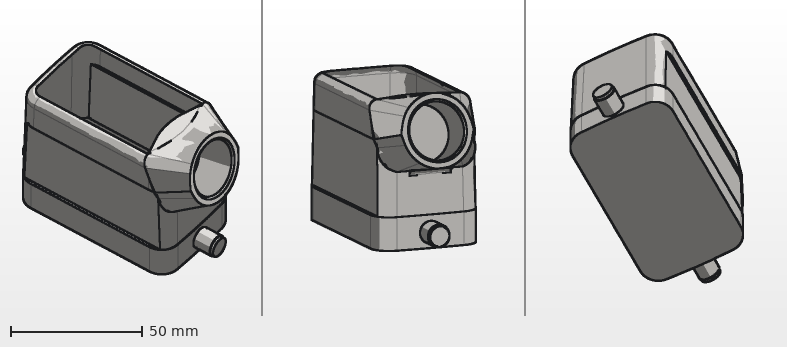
import cadquery as cq
import math

overall_length = 92.4

base_half_length = 36.4
base_half_width = 21.5
collar_height = 13.1
body_height = 57.0
corner_radius = 7.7
end_bow = 0.3
collar_ledge = 0.1
draft_length = 1.1
draft_width = 0.65
roof_fillet = 3.7

recess_top = 42.9
recess_half_width_bottom = 20.2
recess_half_width_top = 20.0

peg_height = 6.3
peg_diameter = 8.8
peg_tip_diameter = 8.0
peg_reach = 45.5
peg_tip_length = 1.4

cut_slant = 22.7
cut_foot_x = 35.8
cut_foot_z = 29.4
spigot_tilt = 15.0
spigot_radius = 14.5
mouth_x = overall_length - peg_reach - spigot_radius * math.sin(math.radians(spigot_tilt))
mouth_z = 47.0
spigot_root_z = 30.5
spigot_lower_side_z = 39.7
root_fillet = 2.3
cut_clearance = 1.85
roof_blend_radius = 29.6
bore_diameter = 22.5
bore_depth = 16.6
bore_chamfer = 0.8

mouth_roof_angle = 42.0
mouth_side_angle = 27.0
mouth_lower_angle = -18.2
mouth_bottom_angle = -54.0

mouth_shoulder_half_width = 15.0
mouth_shoulder_height = -0.5


def hood_outline(plane_height, half_length, half_width):
    """Rounded rectangle with slightly bowed short ends."""
    corner_x = half_length - end_bow
    flat_x = corner_x - corner_radius
    flat_y = half_width - corner_radius
    diagonal = corner_radius * math.sqrt(0.5)
    mid_x = flat_x + diagonal
    mid_y = flat_y + diagonal
    return (
        cq.Workplane("XY", origin=(0, 0, plane_height))
        .moveTo(-flat_x, -half_width)
        .lineTo(flat_x, -half_width)
        .threePointArc((mid_x, -mid_y), (corner_x, -flat_y))
        .threePointArc((half_length, 0), (corner_x, flat_y))
        .threePointArc((mid_x, mid_y), (flat_x, half_width))
        .lineTo(-flat_x, half_width)
        .threePointArc((-mid_x, mid_y), (-corner_x, flat_y))
        .threePointArc((-half_length, 0), (-corner_x, -flat_y))
        .threePointArc((-mid_x, -mid_y), (-flat_x, -half_width))
        .close()
    )


foot_half_length = base_half_length - collar_ledge
foot_half_width = base_half_width - collar_ledge
roof_half_length = foot_half_length - draft_length
roof_half_width = foot_half_width - draft_width

side_draft = math.atan2(draft_width, body_height - collar_height)
roof_setback = roof_fillet * math.tan(math.pi / 4 - side_draft / 2)


def make_body():
    """Drafted upper body with a rounded roof edge."""
    foot_wire = hood_outline(collar_height, foot_half_length, foot_half_width).val()
    roof_wire = hood_outline(body_height, roof_half_length, roof_half_width).val()
    body = cq.Workplane(cq.Solid.makeLoft([foot_wire, roof_wire], True))
    return body.faces(">Z").edges().fillet(roof_fillet)


def side_recess(side):
    """Cutter outside the slightly leaning recess floor; side is +1 or -1."""
    outside = base_half_width + corner_radius
    return (
        cq.Workplane("YZ")
        .polyline([
            (side * recess_half_width_bottom, collar_height),
            (side * recess_half_width_top, recess_top),
            (side * outside, recess_top),
            (side * outside, collar_height),
        ])
        .close()
        .extrude(base_half_length, both=True)
    )


def leaning_plane(x, z, angle):
    """Plane facing +X, tipped upward by angle; local x runs along +Y."""
    lean = math.radians(angle)
    return cq.Plane(origin=(x, 0, z), xDir=(0, 1, 0), normal=(math.cos(lean), 0, math.sin(lean)))


cut_plane = leaning_plane(cut_foot_x, cut_foot_z, cut_slant)
mouth_plane = leaning_plane(mouth_x, mouth_z, spigot_tilt)


def on_cut(z):
    """Distance up the slanted cut at height z."""
    return (z - cut_foot_z) / math.cos(math.radians(cut_slant))


def root_wire():
    """Spigot outline on the slanted cut: body section above, narrower rounded trough below."""
    arc_middle = math.sqrt(0.5)
    tangent_z = body_height - roof_setback * math.cos(side_draft)
    roof_half = roof_half_width - roof_setback
    top, shoulder, step = on_cut(body_height), on_cut(tangent_z), on_cut(recess_top)
    low, bottom = on_cut(spigot_lower_side_z), on_cut(spigot_root_z)
    inner = recess_half_width_top
    side = roof_half_width + roof_setback * math.sin(side_draft)
    step_side = foot_half_width - (recess_top - collar_height) * math.tan(side_draft)
    bottom_half = foot_half_width - corner_radius
    low_half = bottom_half + (inner - bottom_half) * arc_middle
    low_mid = low + (bottom - low) * arc_middle
    arc_y = roof_half + roof_fillet * arc_middle
    arc_v = shoulder + (top - shoulder) * arc_middle
    return (
        cq.Workplane(cut_plane)
        .moveTo(-roof_half, top)
        .lineTo(roof_half, top)
        .threePointArc((arc_y, arc_v), (side, shoulder))
        .lineTo(step_side, step)
        .lineTo(inner, low)
        .threePointArc((low_half, low_mid), (bottom_half, bottom))
        .lineTo(-bottom_half, bottom)
        .threePointArc((-low_half, low_mid), (-inner, low))
        .lineTo(-step_side, step)
        .lineTo(-side, shoulder)
        .threePointArc((-arc_y, arc_v), (-roof_half, top))
        .close()
        .val()
    )


def mouth_wire():
    """Round outline split where the root edges run out, slightly wider over its upper half."""
    def rim(angle):
        turn = math.radians(angle)
        return (spigot_radius * math.cos(turn), spigot_radius * math.sin(turn))

    def mirrored(point):
        return (-point[0], point[1])

    roof_end = rim(mouth_roof_angle)
    side_end = rim(mouth_side_angle)
    shoulder_mid = rim((mouth_roof_angle + mouth_side_angle) / 2)
    wide_end = (mouth_shoulder_half_width, mouth_shoulder_height)
    lower_end = rim(mouth_lower_angle)
    lower_mid = rim((mouth_lower_angle + mouth_bottom_angle) / 2)
    bottom_end = rim(mouth_bottom_angle)
    return (
        cq.Workplane(mouth_plane)
        .moveTo(*mirrored(roof_end))
        .threePointArc((0, spigot_radius), roof_end)
        .threePointArc(shoulder_mid, side_end)
        .threePointArc(rim(mouth_side_angle / 2), wide_end)
        .lineTo(*lower_end)
        .threePointArc(lower_mid, bottom_end)
        .threePointArc((0, -spigot_radius), mirrored(bottom_end))
        .threePointArc(mirrored(lower_mid), mirrored(lower_end))
        .lineTo(*mirrored(wide_end))
        .threePointArc(mirrored(rim(mouth_side_angle / 2)), mirrored(side_end))
        .threePointArc(mirrored(shoulder_mid), mirrored(roof_end))
        .close()
        .val()
    )


def make_spigot():
    """Straight-ruled transition from the slanted cut to the round mouth."""
    return cq.Workplane(cq.Solid.makeLoft([root_wire(), mouth_wire()], True))


def make_root_fillet():
    """Concave fill between the upper end wall and the underside of the spigot."""
    tilt = math.radians(spigot_tilt)
    lip_x = mouth_x + spigot_radius * math.sin(tilt)
    lip_z = mouth_z - spigot_radius * math.cos(tilt)
    start_x = cut_foot_x - (spigot_root_z - cut_foot_z) * math.tan(math.radians(cut_slant))
    rise = math.atan2(lip_z - spigot_root_z, lip_x - start_x)
    height_share = (spigot_root_z - collar_height) / (body_height - collar_height)
    wall_x = foot_half_length - draft_length * height_share
    corner_z = spigot_root_z + (wall_x - start_x) * math.tan(rise)
    setback = root_fillet / math.tan((math.pi / 2 + rise) / 2)
    center_x = wall_x + root_fillet
    center_z = corner_z - setback
    mid_angle = math.pi * 0.75 + rise / 2
    half_width = spigot_radius * math.cos(math.radians(mouth_bottom_angle))
    return (
        cq.Workplane("XZ")
        .moveTo(wall_x, center_z)
        .threePointArc(
            (center_x + root_fillet * math.cos(mid_angle), center_z + root_fillet * math.sin(mid_angle)),
            (wall_x + setback * math.cos(rise), corner_z + setback * math.sin(rise)),
        )
        .lineTo(wall_x + setback, corner_z + root_fillet)
        .lineTo(wall_x - root_fillet, corner_z + root_fillet)
        .lineTo(wall_x - root_fillet, center_z)
        .close()
        .extrude(half_width, both=True)
    )


def roof_blend_section(share):
    """Sliver filling the crease between roof and spigot; share runs -1 to 1 across the roof."""
    crease = cut_plane.toWorldCoords((share * (roof_half_width - roof_setback), on_cut(body_height)))
    turn = math.radians(share * (90 - mouth_roof_angle))
    rim = mouth_plane.toWorldCoords((spigot_radius * math.sin(turn), spigot_radius * math.cos(turn)))
    run = rim.x - crease.x
    bend = math.atan2(rim.z - crease.z, run)
    setback = roof_blend_radius * math.tan(bend / 2)
    on_roof = crease - cq.Vector(setback, 0, 0)
    on_spigot = crease + (rim - crease) * (setback * math.cos(bend) / run)
    lift = (on_roof + on_spigot) * 0.5 - crease
    arc = cq.Edge.makeThreePointArc(on_roof, crease + lift * 0.5, on_spigot)
    below = crease - lift
    sides = [cq.Edge.makeLine(on_spigot, below), cq.Edge.makeLine(below, on_roof)]
    return cq.Wire.assembleEdges([arc] + sides)


def make_roof_blend():
    """Long concave blend that fades out toward both roof corners."""
    half_shares = (0.4, 0.75, 0.97)
    shares = [-share for share in reversed(half_shares)] + [0] + list(half_shares)
    sections = [roof_blend_section(share) for share in shares]
    return cq.Workplane(cq.Solid.makeLoft(sections))


def make_bore():
    """Cutter for the blind cable bore with a flared entry."""
    radius = bore_diameter / 2
    hole = cq.Workplane(mouth_plane).circle(radius).extrude(-bore_depth)
    flare = cq.Solid.makeCone(radius + bore_chamfer, radius, bore_chamfer,
                              mouth_plane.origin, -mouth_plane.zDir)
    return hole.union(cq.Workplane(flare))


def make_pegs():
    """One through shank with a slimmer tip at each end."""
    shank = cq.Workplane("YZ").center(0, peg_height)
    pegs = shank.circle(peg_diameter / 2).extrude(peg_reach - peg_tip_length, both=True)
    tips = shank.circle(peg_tip_diameter / 2).extrude(peg_reach, both=True)
    return pegs.union(tips)


def beyond_cut():
    """Cutter for the body corner past the slanted cut; the end wall below the spigot stays."""
    start = on_cut(spigot_root_z) + cut_clearance
    height = on_cut(body_height) - start + cut_clearance
    return (
        cq.Workplane(cut_plane)
        .center(0, start + height / 2)
        .rect(3 * base_half_width, height)
        .extrude(base_half_length)
    )


collar = hood_outline(0, base_half_length, base_half_width).extrude(collar_height)
body = make_body()
for side in (-1, 1):
    body = body.cut(side_recess(side))
body = body.cut(beyond_cut())
hood = collar.union(body).union(make_spigot())
hood = hood.union(make_root_fillet()).union(make_roof_blend())
result = hood.union(make_pegs()).cut(make_bore())